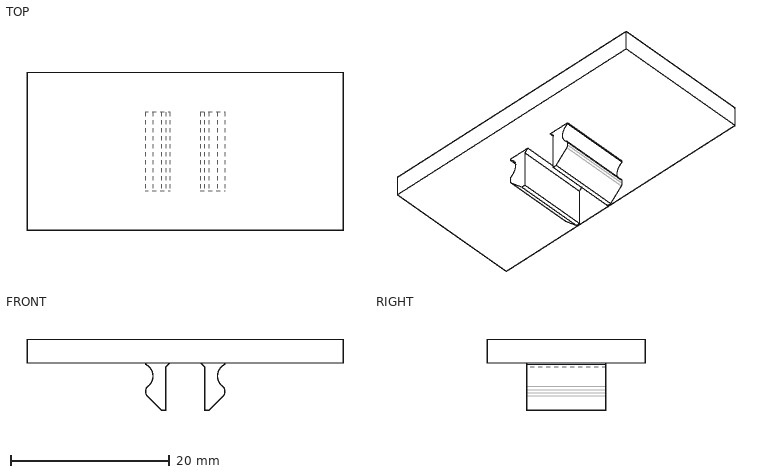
import cadquery as cq
import math

PLATE_LENGTH = 40.0
PLATE_WIDTH = 20.0
PLATE_THICKNESS = 3.0

HOOK_WIDTH = 10.0
HOOK_HEIGHT = 6.0
HOOK_INNER_X = 2.45
HOOK_OUTER_X = 5.0
TIP_THICKNESS = 0.55
ROOT_CHAMFER = 0.5

NECK_X = 4.1
GROOVE_RADIUS = 1.65

LEAD_IN_ANGLE = math.radians(45)
CREST_RADIUS = 0.5

PLATE_BOTTOM_Z = -PLATE_THICKNESS


def make_plate():
    plate = cq.Workplane("XY").box(PLATE_LENGTH, PLATE_WIDTH, PLATE_THICKNESS)
    return plate.translate((0, 0, -PLATE_THICKNESS / 2))


def make_hook():
    """Hook on the +X side; profile heights are measured from the plate underside."""
    groove_x = NECK_X + GROOVE_RADIUS
    groove_z = -GROOVE_RADIUS
    root_rise = math.sqrt(GROOVE_RADIUS**2 - (groove_x - HOOK_OUTER_X) ** 2)

    round_x = HOOK_OUTER_X - CREST_RADIUS
    center_distance = GROOVE_RADIUS + CREST_RADIUS
    round_z = groove_z - math.sqrt(center_distance**2 - (groove_x - round_x) ** 2)
    groove_share = GROOVE_RADIUS / center_distance
    groove_end_x = groove_x + (round_x - groove_x) * groove_share
    groove_end_z = groove_z + (round_z - groove_z) * groove_share

    tip_x = HOOK_INNER_X + TIP_THICKNESS
    slope_corner_z = -HOOK_HEIGHT + (HOOK_OUTER_X - tip_x) * math.tan(LEAD_IN_ANGLE)
    tangent_length = CREST_RADIUS * math.tan((math.pi / 2 - LEAD_IN_ANGLE) / 2)
    slope_top_x = HOOK_OUTER_X - tangent_length * math.cos(LEAD_IN_ANGLE)
    slope_top_z = slope_corner_z - tangent_length * math.sin(LEAD_IN_ANGLE)

    profile = (
        cq.Workplane("XZ", origin=(0, HOOK_WIDTH / 2, PLATE_BOTTOM_Z))
        .moveTo(HOOK_INNER_X - ROOT_CHAMFER, 0)
        .lineTo(HOOK_OUTER_X, 0)
        .lineTo(HOOK_OUTER_X, groove_z + root_rise)
        .threePointArc((NECK_X, groove_z), (groove_end_x, groove_end_z))
        .tangentArcPoint((HOOK_OUTER_X, round_z), relative=False)
        .lineTo(HOOK_OUTER_X, slope_corner_z + tangent_length)
        .tangentArcPoint((slope_top_x, slope_top_z), relative=False)
        .lineTo(tip_x, -HOOK_HEIGHT)
        .lineTo(HOOK_INNER_X, -HOOK_HEIGHT)
        .lineTo(HOOK_INNER_X, -ROOT_CHAMFER)
        .close()
    )
    return profile.extrude(HOOK_WIDTH)


hook = make_hook()
result = make_plate().union(hook).union(hook.mirror("YZ"))